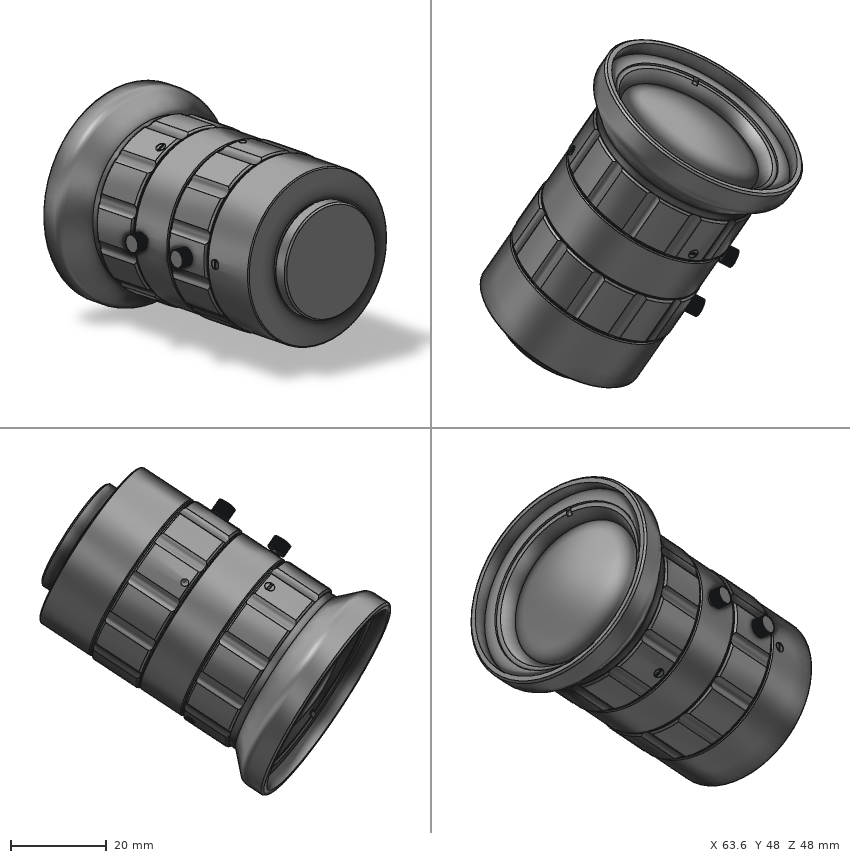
import cadquery as cq
import math


total_length = 63.6
front_ring_start = 11.9
front_ring_end = 23.2
middle_start = 23.6
middle_end = 34.15
rear_ring_start = 34.5
rear_ring_end = 46.25
rear_start = 46.65
rear_end = 59.5
mount_start = 60.2

hood_radius = 24.0
ring_radius = 19.65
barrel_radius = 19.4
neck_radius = 19.0
mount_neck_radius = 12.2
mount_radius = 12.7

hood_chamfer = 0.45
ring_chamfer = 0.45
barrel_chamfer = 0.25
mount_chamfer = 0.4

shoulder_start = 4.15
cone_angle = math.radians(45)
cone_start = 6.1

bore_radius = 22.45
bore_depth = 3.05
retainer_outer_radius = 19.65
retainer_inner_radius = 18.6
retainer_recess = 0.5
lens_radius = 16.75
lens_seat_depth = 6.2
lens_bulge = 3.8
spanner_slot_width = 1.2
spanner_slot_depth = 0.5
spanner_slot_inner_radius = 17.6

flute_count = 12
flute_half_width = 1.6
flute_depth = ring_radius - neck_radius

thumb_middle_x = 26.9
thumb_rear_x = 40.9
thumb_middle_head_bottom = 20.5
thumb_rear_head_bottom = 20.2
thumb_top = 23.0
thumb_head_radius = 2.05
thumb_shank_radius = 0.7
thumb_collar_radius = 1.1
thumb_collar_top = 19.85
thumb_root = 18.45
knurl_count = 48
knurl_depth = 0.1

set_screw_radius = 1.1
set_screw_recess = 0.1
set_screw_slot_width = 0.45
set_screw_slot_depth = 0.25
set_screw_overrun = 0.65
front_set_screw_x = 21.2
rear_set_screw_x = 49.0

dimple_x = 35.95
dimple_radius = 0.8
dimple_depth = 0.65


def around_axis(shape, degrees):
    """Turn a shape about the optical axis."""
    return shape.rotate((0, 0, 0), (1, 0, 0), degrees)


def collar(start, end, radius, chamfer):
    """Solid disc along X with both rims chamfered."""
    disc = cq.Workplane("YZ").workplane(offset=start).circle(radius).extrude(end - start)
    return disc.faces("<X or >X").edges().chamfer(chamfer)


def radial_cylinder(x, radius, inner, outer):
    """Cylinder pointing to -Y between two distances from the optical axis."""
    return cq.Workplane("XZ", origin=(x, -inner, 0)).circle(radius).extrude(outer - inner)


def hood_and_core():
    """Flared hood and the plain core that shows in the gaps between the collars."""
    arc_length = cone_start - shoulder_start
    arc_radius = arc_length / math.sin(cone_angle)
    arc_mid_x = shoulder_start + arc_radius * math.sin(cone_angle / 2)
    arc_mid_r = hood_radius - arc_radius * (1 - math.cos(cone_angle / 2))
    cone_start_r = hood_radius - arc_radius * (1 - math.cos(cone_angle))
    neck_start = cone_start + (cone_start_r - neck_radius) / math.tan(cone_angle)
    core_end = rear_start + barrel_chamfer
    mount_neck_end = mount_start + mount_chamfer
    return (
        cq.Workplane("XY")
        .moveTo(0, 0)
        .lineTo(0, hood_radius - hood_chamfer)
        .lineTo(hood_chamfer, hood_radius)
        .lineTo(shoulder_start, hood_radius)
        .threePointArc((arc_mid_x, arc_mid_r), (cone_start, cone_start_r))
        .lineTo(neck_start, neck_radius)
        .lineTo(core_end, neck_radius)
        .lineTo(core_end, mount_neck_radius)
        .lineTo(mount_neck_end, mount_neck_radius)
        .lineTo(mount_neck_end, 0)
        .close()
        .revolve(360, (0, 0, 0), (1, 0, 0))
    )


def front_opening():
    """Space in front of the glass: bore, stepped retainer, conical throat and domed lens."""
    retainer_face = bore_depth + retainer_recess
    dome_radius = (lens_radius**2 + lens_bulge**2) / (2 * lens_bulge)
    half_angle = math.asin(lens_radius / dome_radius) / 2
    apex_x = lens_seat_depth - lens_bulge
    dome_mid_x = apex_x + dome_radius * (1 - math.cos(half_angle))
    opening = (
        cq.Workplane("XY")
        .moveTo(0, 0)
        .lineTo(0, bore_radius)
        .lineTo(bore_depth, bore_radius)
        .lineTo(bore_depth, retainer_outer_radius)
        .lineTo(retainer_face, retainer_outer_radius)
        .lineTo(retainer_face, retainer_inner_radius)
        .lineTo(lens_seat_depth, lens_radius)
        .threePointArc((dome_mid_x, dome_radius * math.sin(half_angle)), (apex_x, 0))
        .close()
        .revolve(360, (0, 0, 0), (1, 0, 0))
    )
    slot_length = retainer_outer_radius - spanner_slot_inner_radius
    slot_middle = spanner_slot_inner_radius + slot_length / 2
    for side in (-1, 1):
        slot = cq.Workplane("XY").box(
            retainer_face + spanner_slot_depth,
            spanner_slot_width,
            slot_length,
            centered=(False, True, True),
        )
        opening = opening.union(slot.translate((0, 0, side * slot_middle)))
    return opening


def grip_ring(start, end):
    """Chamfered ring with round flutes between twelve grip pads."""
    ring = collar(start, end, ring_radius, ring_chamfer)
    flute_radius = (flute_half_width**2 + flute_depth**2) / (2 * flute_depth)
    flute_center = ring_radius - flute_depth + flute_radius
    flute = (
        cq.Workplane("YZ", origin=(start, 0, flute_center))
        .circle(flute_radius)
        .extrude(end - start)
    )
    pitch = 360 / flute_count
    for index in range(flute_count):
        ring = ring.cut(around_axis(flute, (index + 0.5) * pitch))
    return ring


def thumb_screw(x, head_bottom):
    """Knurled thumb screw standing on the -Y side."""
    collar_part = radial_cylinder(x, thumb_collar_radius, thumb_root, thumb_collar_top)
    shank = radial_cylinder(x, thumb_shank_radius, thumb_root, thumb_top)
    outline = []
    for index in range(2 * knurl_count):
        angle = math.pi * index / knurl_count
        radius = thumb_head_radius - knurl_depth * (index % 2)
        outline.append((radius * math.cos(angle), radius * math.sin(angle)))
    head = (
        cq.Workplane("XZ", origin=(x, -head_bottom, 0))
        .polyline(outline)
        .close()
        .extrude(thumb_top - head_bottom)
    )
    return collar_part.union(shank).union(head)


def set_screw_recess_cut(x, surface_radius):
    """Shallow round recess with a screwdriver slot across it, on the -Y side."""
    screw_face = surface_radius - set_screw_recess
    recess = radial_cylinder(x, set_screw_radius, screw_face, surface_radius + set_screw_overrun)
    slot = (
        cq.Workplane("XZ", origin=(x, -(screw_face - set_screw_slot_depth), 0))
        .rect(set_screw_slot_width, 2 * set_screw_radius)
        .extrude(set_screw_slot_depth)
    )
    round_slot = slot.intersect(radial_cylinder(x, set_screw_radius, 0, surface_radius))
    return recess.union(round_slot)


def index_dimple():
    """Conical dimple opening to +Z."""
    cone = cq.Solid.makeCone(
        0,
        dimple_radius,
        dimple_depth,
        pnt=cq.Vector(dimple_x, 0, ring_radius - dimple_depth),
        dir=cq.Vector(0, 0, 1),
    )
    return cq.Workplane(obj=cone)


result = hood_and_core()
result = result.union(grip_ring(front_ring_start, front_ring_end))
result = result.union(collar(middle_start, middle_end, barrel_radius, barrel_chamfer))
result = result.union(grip_ring(rear_ring_start, rear_ring_end))
result = result.union(collar(rear_start, rear_end, barrel_radius, barrel_chamfer))
result = result.union(collar(mount_start, total_length, mount_radius, mount_chamfer))
result = result.cut(front_opening())

for turn in (-60, 60, 180):
    result = result.cut(around_axis(set_screw_recess_cut(front_set_screw_x, ring_radius), turn))
result = result.cut(set_screw_recess_cut(rear_set_screw_x, barrel_radius))
result = result.cut(index_dimple())

result = result.union(thumb_screw(thumb_middle_x, thumb_middle_head_bottom))
result = result.union(thumb_screw(thumb_rear_x, thumb_rear_head_bottom))